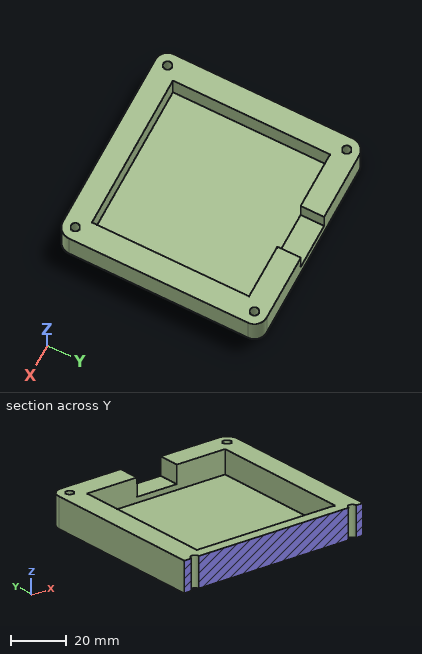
import cadquery as cq

length_x = 82.2
length_y = 82.6
height = 13.0
corner_radius = 5.0

pocket_x = 63.3
pocket_y = 63.6
floor_thickness = 3.0
pocket_depth = height - floor_thickness

notch_width = 18.2
notch_depth = 7.7
notch_offset_x = 0.4
wall_y = (length_y - pocket_y) / 2

hole_diameter = 3.4
hole_spacing_x = length_x - 2 * corner_radius
hole_spacing_y = length_y - 2 * corner_radius


def top_cutter(size_x, size_y, depth, center_x=0, center_y=0):
    """Box reaching down from the top face."""
    return (
        cq.Workplane("XY", origin=(center_x, center_y, height - depth))
        .rect(size_x, size_y)
        .extrude(depth)
    )


block = (
    cq.Workplane("XY")
    .rect(length_x, length_y)
    .extrude(height)
    .edges("|Z")
    .fillet(corner_radius)
)

pocket = top_cutter(pocket_x, pocket_y, pocket_depth)
notch = top_cutter(notch_width, wall_y, notch_depth, notch_offset_x, (length_y - wall_y) / 2)

screw_holes = (
    cq.Workplane("XY")
    .rect(hole_spacing_x, hole_spacing_y, forConstruction=True)
    .vertices()
    .circle(hole_diameter / 2)
    .extrude(height)
)

result = block.cut(pocket).cut(notch).cut(screw_holes)